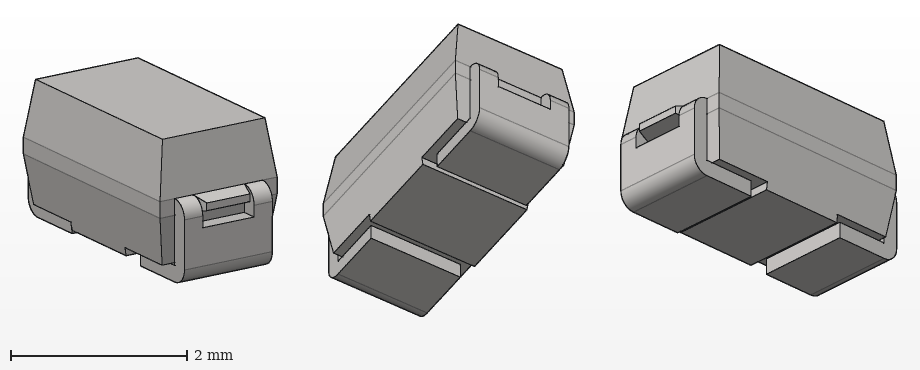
import cadquery as cq
import math

housing_length = 2.8
housing_width = 1.6
housing_top = 1.7
housing_bottom = 0.1
draft_height = 0.7
draft_inset = 0.1
pedestal_length = 1.11

lead_span = 3.2
lead_width = 1.2
lead_thickness = (lead_span - housing_length) / 2
foot_length = 0.9
notch_width = 0.7
notch_floor = 0.66
tab_draft = 15

belt_top = housing_top - draft_height
belt_bottom = housing_bottom + draft_height
housing_end = housing_length / 2
lead_end = lead_span / 2
foot_tip = lead_end - foot_length
draft_angle = math.degrees(math.atan(draft_inset / draft_height))


def make_strip_end(side):
    """C-shaped end of the leadframe; side is +1 or -1 along X."""
    bend_reach = lead_thickness * math.sqrt(0.5)
    bend_x = side * (housing_end + bend_reach)
    outer_x = side * lead_end
    inner_x = side * housing_end
    bend = (
        cq.Workplane("XZ")
        .moveTo(0, belt_bottom)
        .lineTo(0, belt_top)
        .lineTo(inner_x, belt_top)
        .threePointArc((bend_x, belt_bottom + bend_reach), (outer_x, belt_bottom))
        .lineTo(outer_x, lead_thickness)
        .threePointArc((bend_x, lead_thickness - bend_reach), (inner_x, 0))
        .lineTo(side * foot_tip, 0)
        .lineTo(side * foot_tip, lead_thickness)
        .lineTo(inner_x, lead_thickness)
        .lineTo(inner_x, belt_bottom)
        .close()
        .extrude(lead_width / 2, both=True)
    )
    notch_x = side * (housing_end + lead_thickness / 2)
    notch = (
        cq.Workplane("XY", origin=(notch_x, 0, notch_floor))
        .rect(lead_thickness, notch_width)
        .extrude(belt_top - notch_floor)
    )
    return bend.cut(notch)


def make_tab():
    """Tapered tab on the +X edge of the strip, between the prongs."""
    return (
        cq.Workplane("YZ", origin=(housing_end, 0, (belt_top + belt_bottom) / 2))
        .rect(notch_width, belt_top - belt_bottom)
        .extrude(lead_thickness, taper=tab_draft)
    )


def make_leadframe():
    return make_strip_end(-1).union(make_strip_end(1)).union(make_tab())


def make_housing():
    belt = (
        cq.Workplane("XY", origin=(0, 0, belt_bottom))
        .rect(housing_length, housing_width)
        .extrude(belt_top - belt_bottom)
    )
    upper_half = (
        cq.Workplane("XY", origin=(0, 0, belt_top))
        .rect(housing_length, housing_width)
        .extrude(draft_height, taper=draft_angle)
    )
    lower_half = (
        cq.Workplane("XY", origin=(0, 0, belt_bottom))
        .rect(housing_length, housing_width)
        .extrude(-draft_height, taper=draft_angle)
    )
    shell = belt.union(upper_half).union(lower_half)

    step_length = (housing_length - pedestal_length) / 2
    step_height = lead_thickness - housing_bottom
    step_centre = (pedestal_length + step_length) / 2
    steps = (
        cq.Workplane("XY", origin=(0, 0, housing_bottom))
        .pushPoints([(-step_centre, 0), (step_centre, 0)])
        .rect(step_length, housing_width)
        .extrude(step_height)
    )

    passage = (
        cq.Workplane("XY", origin=(0, 0, belt_bottom))
        .rect(housing_length, lead_width)
        .extrude(belt_top - belt_bottom)
    )
    return shell.cut(steps).cut(passage)


housing = make_housing()
leadframe = make_leadframe()

result = cq.Compound.makeCompound([housing.solids().val(), leadframe.solids().val()])